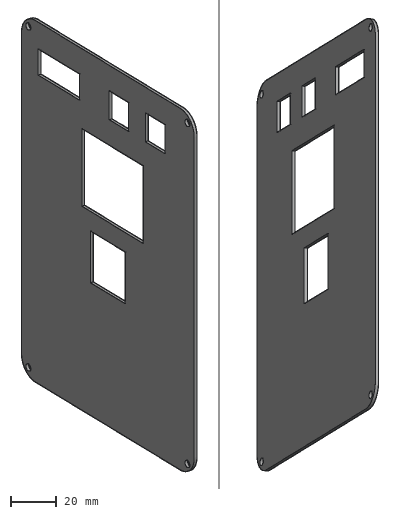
import cadquery as cq

plate_width = 127.0
plate_height = 177.8
plate_thickness = 1.59
corner_radius = 10.16

hole_diameter = 3.4
hole_inset = 5.08

display_z = 69.3
small_windows_z = 69.2
display_width = 30.2
display_height = 12.8
display_x = -36.0
small_window_side = 14.2
first_small_window_x = 8.1
second_small_window_x = 34.8

large_window_width = 45.0
large_window_height = 38.1
large_window_x = 3.4
large_window_z = 30.5

square_window_side = 25.4
square_window_x = 0.0
square_window_z = -10.9


def make_plate():
    """Rectangular plate with rounded outline corners."""
    plate = cq.Workplane("XY").box(plate_width, plate_thickness, plate_height)
    return plate.edges("|Y").fillet(corner_radius)


def cut_mounting_holes(plate):
    """Drill a through hole near each corner."""
    hole_span_x = plate_width - 2 * hole_inset
    hole_span_z = plate_height - 2 * hole_inset
    return (
        plate.faces("<Y")
        .workplane(centerOption="CenterOfBoundBox")
        .rect(hole_span_x, hole_span_z, forConstruction=True)
        .vertices()
        .hole(hole_diameter)
    )


def cut_window(plate, width, height, x, z):
    """Cut a rectangular through window centred at (x, z)."""
    cutter_depth = 2 * plate_thickness
    cutter = cq.Workplane("XY").box(width, cutter_depth, height).translate((x, 0, z))
    return plate.cut(cutter)


result = cut_mounting_holes(make_plate())
result = cut_window(result, display_width, display_height, display_x, display_z)
for window_x in (first_small_window_x, second_small_window_x):
    result = cut_window(result, small_window_side, small_window_side, window_x, small_windows_z)
result = cut_window(result, large_window_width, large_window_height, large_window_x, large_window_z)
result = cut_window(result, square_window_side, square_window_side, square_window_x, square_window_z)